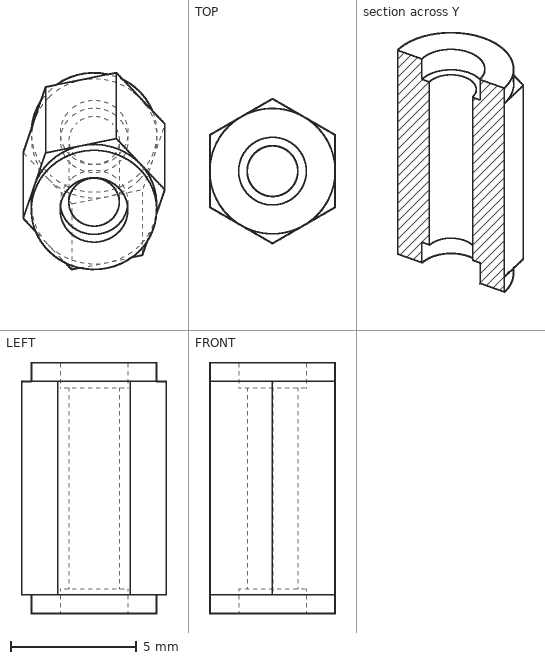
import cadquery as cq
import math

across_flats = 5.0
total_length = 10.0
collar_length = 0.75
bore_diameter = 2.01
counterbore_diameter = 2.7
counterbore_depth = 1.0

across_corners = across_flats / math.cos(math.radians(30))
collar_diameter = across_flats
hex_length = total_length - 2 * collar_length


def make_hex_body():
    """Hexagonal prism with its flats facing +X and -X, between the two collars."""
    return (
        cq.Workplane("XY")
        .workplane(offset=collar_length)
        .transformed(rotate=(0, 0, 90))
        .polygon(6, across_corners)
        .extrude(hex_length)
    )


def make_cylinder(diameter, bottom, length):
    """Cylinder about the Z axis, starting at height bottom."""
    return cq.Workplane("XY").workplane(offset=bottom).circle(diameter / 2).extrude(length)


result = make_hex_body()
for collar_bottom in (0, total_length - collar_length):
    result = result.union(make_cylinder(collar_diameter, collar_bottom, collar_length))

result = result.cut(make_cylinder(bore_diameter, 0, total_length))
for counterbore_bottom in (0, total_length - counterbore_depth):
    result = result.cut(make_cylinder(counterbore_diameter, counterbore_bottom, counterbore_depth))